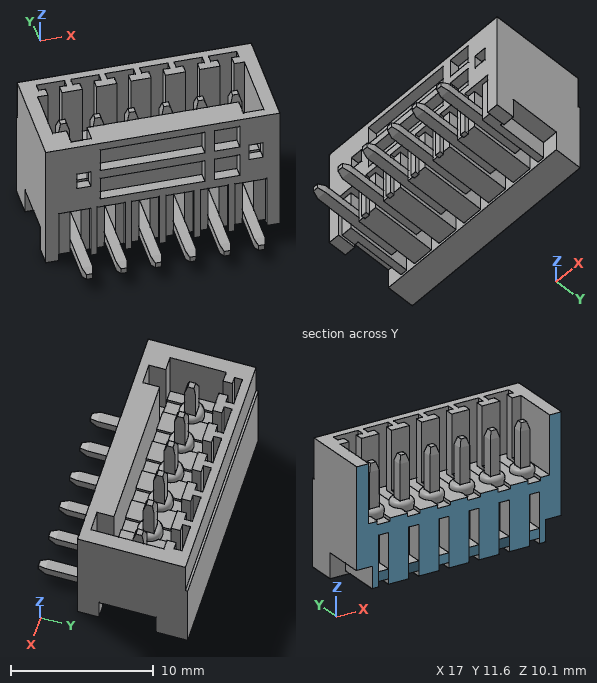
import cadquery as cq


LENGTH = 17.0
DEPTH = 8.1
HEIGHT = 10.1
REAR_STEP = 0.17
REAR_STEP_Z = 6.88

PIN_COUNT = 6
PITCH = 2.5
PIN_SIZE = 0.8
PIN_Y = 3.9
PIN_Z = 1.1
PIN_TOP = 9.3
PIN_REACH = 3.5
TIP_SIZE = 0.45
TIP_LENGTH = 0.6
PIN_XS = [(i - (PIN_COUNT - 1) / 2) * PITCH for i in range(PIN_COUNT)]

END_WALL = 1.0
FRONT_WALL = 1.92
CAVITY_BACK = 6.04
FLOOR_Z = 5.44

GROOVE_Z = 5.18
STEM_WIDTH = 1.02
HEAD_WIDTH = 2.04
HEAD_FRONT = 6.72
HEAD_BACK = 7.3

COLLAR_DIAMETER = 1.8
COLLAR_TOP = 5.86
COLLAR_FILLET = 0.29

LATCH_OFFSET = 0.51
NOTCH_WIDTH = 1.48
NOTCH_FRONT = 0.68
NOTCH_Z = 4.76
LATCH_HOLE_WIDTH = 1.02
LATCH_HOLE_Z = 6.32
LATCH_HOLE_HEIGHT = 1.31

WINDOW_DEPTH = 0.78
WINDOW_HEIGHT = 1.87
WINDOW_ROW_Z = [5.02, 7.62]
LONG_WINDOW_X = -4.54
LONG_WINDOW_WIDTH = 7.58
SHORT_WINDOW_X = 3.75
SHORT_WINDOW_WIDTH = 1.82

POCKET_WIDTH = 2.04
POCKET_DEPTH = 0.34
POCKET_END_WALL = 0.95
POCKET_TOP = 4.3
STANDOFF = 0.29
REAR_FOOT_Y = 5.76
FRONT_FOOT_Y = 1.58
SIDE_OPENING_TOP = 2.02
SIDE_OPENING_DEPTH = 1.3


def block(x0, x1, y0, y1, z0, z1):
    """Box between two opposite corners."""
    return cq.Workplane("XY").box(x1 - x0, y1 - y0, z1 - z0, centered=False).translate((x0, y0, z0))


def centred_block(x, width, y0, y1, z0, z1):
    """Box of a given width, centred on x."""
    return block(x - width / 2, x + width / 2, y0, y1, z0, z1)


def outer_block():
    body = centred_block(0, LENGTH, 0, DEPTH, 0, HEIGHT)
    return body.cut(centred_block(0, LENGTH, DEPTH - REAR_STEP, DEPTH, REAR_STEP_Z, HEIGHT))


def cut_cavity(body):
    width = LENGTH - 2 * END_WALL
    body = body.cut(centred_block(0, width, FRONT_WALL, CAVITY_BACK, FLOOR_Z, HEIGHT))
    for x in PIN_XS:
        body = body.cut(centred_block(x, STEM_WIDTH, FRONT_WALL, HEAD_FRONT, GROOVE_Z, HEIGHT))
        body = body.cut(centred_block(x, HEAD_WIDTH, HEAD_FRONT, HEAD_BACK, GROOVE_Z, HEIGHT))
    return body


def cut_latches(body):
    hole_top = LATCH_HOLE_Z + LATCH_HOLE_HEIGHT
    for pin_x in (PIN_XS[0], PIN_XS[-1]):
        x = pin_x + LATCH_OFFSET
        body = body.cut(centred_block(x, NOTCH_WIDTH, NOTCH_FRONT, FRONT_WALL, NOTCH_Z, HEIGHT))
        body = body.cut(centred_block(x, LATCH_HOLE_WIDTH, 0, NOTCH_FRONT, LATCH_HOLE_Z, hole_top))
    return body


def cut_windows(body):
    windows = [(LONG_WINDOW_X, LONG_WINDOW_WIDTH), (SHORT_WINDOW_X, SHORT_WINDOW_WIDTH)]
    for z in WINDOW_ROW_Z:
        for x, width in windows:
            body = body.cut(block(x, x + width, 0, WINDOW_DEPTH, z, z + WINDOW_HEIGHT))
    return body


def cut_underside(body):
    inner_end = LENGTH / 2 - POCKET_END_WALL
    body = body.cut(centred_block(0, 2 * inner_end, POCKET_DEPTH, REAR_FOOT_Y, 0, STANDOFF))
    for side in (-1, 1):
        x = side * (LENGTH - SIDE_OPENING_DEPTH) / 2
        body = body.cut(
            centred_block(x, SIDE_OPENING_DEPTH, FRONT_FOOT_Y, REAR_FOOT_Y, 0, SIDE_OPENING_TOP)
        )
    for x in PIN_XS:
        left = -inner_end if x == PIN_XS[0] else x - POCKET_WIDTH / 2
        right = inner_end if x == PIN_XS[-1] else x + POCKET_WIDTH / 2
        body = body.cut(block(left, right, 0, POCKET_DEPTH, 0, POCKET_TOP))
        body = body.cut(centred_block(x, PIN_SIZE, POCKET_DEPTH, REAR_FOOT_Y, 0, POCKET_TOP))
    return body


def add_collars(body):
    collar = (
        cq.Workplane("XY", origin=(0, PIN_Y, GROOVE_Z))
        .circle(COLLAR_DIAMETER / 2)
        .extrude(COLLAR_TOP - GROOVE_Z)
        .faces(">Z")
        .edges()
        .fillet(COLLAR_FILLET)
    )
    for x in PIN_XS:
        body = body.union(collar.translate((x, 0, 0)))
    return body


def cut_pin_holes(body):
    front = PIN_Y - PIN_SIZE / 2
    back = PIN_Y + PIN_SIZE / 2
    for x in PIN_XS:
        body = body.cut(centred_block(x, PIN_SIZE, front, back, POCKET_TOP, COLLAR_TOP))
    return body


def make_housing():
    body = cut_cavity(outer_block())
    body = cut_latches(body)
    body = cut_windows(body)
    body = cut_underside(body)
    body = add_collars(body)
    return cut_pin_holes(body)


def make_leg(plane, length):
    """Square bar along the plane's normal, ending in a tapered tip; length includes the tip."""
    shank = cq.Workplane(plane).rect(PIN_SIZE, PIN_SIZE).extrude(length - TIP_LENGTH)
    tip = (
        cq.Workplane(plane)
        .workplane(offset=length - TIP_LENGTH)
        .rect(PIN_SIZE, PIN_SIZE)
        .workplane(offset=TIP_LENGTH)
        .rect(TIP_SIZE, TIP_SIZE)
        .loft(ruled=True)
    )
    return shank.union(tip)


def make_pin(x):
    heel = PIN_SIZE / 2
    upright = make_leg("XY", PIN_TOP - PIN_Z + heel).translate((x, PIN_Y, PIN_Z - heel))
    horizontal = make_leg("XZ", PIN_REACH + PIN_Y + heel).translate((x, PIN_Y + heel, PIN_Z))
    return upright.union(horizontal)


housing = make_housing()
pins = [make_pin(x) for x in PIN_XS]
result = cq.Compound.makeCompound([housing.solids().val(), *[pin.solids().val() for pin in pins]])